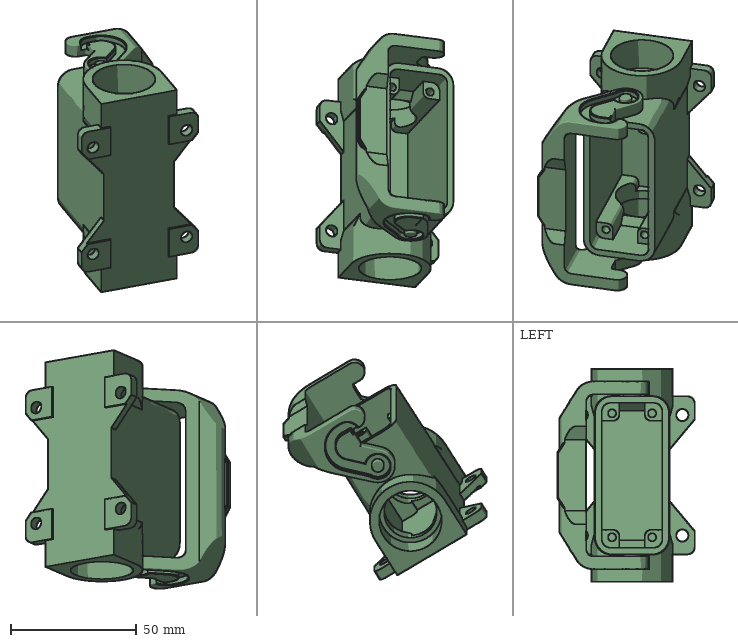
import cadquery as cq
import math


front_x = -34.8
back_x = 16.5
half_width = 14.7
half_height = 31.5
corner_radius = 6.55
draft_angle = 0.4
wall = 2.6
back_wall = 2.9
cavity_corner_radius = 3.4
cavity_ramp_x = -13.6
cavity_ramp = 3.1

port_radius = 16.2
port_end_z = 42.5
port_underside_inner_z = 23.5
port_underside_outer_z = 27.7
port_wall_y = 15.05
port_bore_radius = 10.5
port_counterbore_radius = 12.5
port_counterbore_depth = 13.0

boss_front_x = -25.5
boss_inner_y = 5.1
boss_inner_z = 21.8
boss_corner_radius = 2.55
boss_hole_y = 8.0
boss_hole_z = 24.7
boss_hole_radius = 1.6
boss_hole_depth = 10.2

foot_front_x = 13.3
foot_back_x = 17.4
foot_outer_y = 25.1
foot_top_z = 31.6
foot_edge_z = 22.35
foot_root_z = 10.4
foot_corner_radius = 3.1
foot_hole_y = 20.1
foot_hole_z = 24.05
foot_hole_radius = 2.4
pad_inner_y = 12.6
pad_bottom_z = 19.1

pivot_x = -24.9
pivot_radius = 6.8
spacer_radius = 3.5
pin_radius = 2.5
pin_fillet = 0.4
arm_inner_z = 32.3
arm_outer_z = 37.5
arm_edge_fillet = 0.4
bend_start_y = 15.6
bend_end_y = 22.1
inner_bend_radius = 3.1
lever_left_x = -50.6
bar_radius = 6.8
bar_axis_y = 22.35
bar_inner_y = 18.4
bar_end_slope = 1.6
hook_radius = 4.0
hook_center_y = -2.5
notch_y = 1.3
notch_fillet = 1.2

recess_depth = 2.5
recess_arc_x = -37.6
recess_arc_y = 5.1
recess_arc_radius = 9.95
recess_pivot_radius = 4.9
recess_foot_radius = 5.1
recess_foot_y = 3.6
recess_edge_chamfer = 0.3
island_arc_x = -37.9
island_arc_y = 5.3
island_arc_radius = 5.8

grip_left_x = -48.8
grip_right_x = -46.15
grip_top_y = 29.9
grip_half_length = 9.0
grip_chamfer = 0.4
relief_inner_z = 14.1
relief_outer_z = 19.55

housing_length = back_x - front_x
cavity_back_x = back_x - back_wall
cavity_half_width = half_width - wall
cavity_half_height = half_height - wall
bar_x = lever_left_x + bar_radius
bar_right_x = bar_x + bar_radius
bar_outer_y = bar_axis_y + bar_radius
bar_end_angle = math.atan2(1, bar_end_slope)
bend_radius = (bend_end_y - bend_start_y) / math.cos(bar_end_angle)
bend_center_z = arm_outer_z - bend_radius
hook_x = lever_left_x + hook_radius
hook_right_x = hook_x + hook_radius
recess_floor_z = arm_outer_z - recess_depth


def both_ends(shape):
    """The shape together with its mirror image about Z = 0."""
    return shape.union(shape.mirror("XY"))


def both_sides(shape):
    """The shape together with its mirror image about Y = 0."""
    return shape.union(shape.mirror("XZ"))


def point_on(x, y, radius, degrees):
    """Point on a circle, at an angle measured from the first axis."""
    angle = math.radians(degrees)
    return (x + radius * math.cos(angle), y + radius * math.sin(angle))


def make_shell():
    """Rounded box that widens slightly towards the back."""
    return (
        cq.Workplane("YZ", origin=(front_x, 0, 0))
        .sketch()
        .rect(2 * half_width, 2 * half_height)
        .vertices()
        .fillet(corner_radius)
        .finalize()
        .extrude(housing_length, taper=-draft_angle)
    )


def make_port():
    """D-shaped port block whose sides lean in below to meet the housing walls."""
    block = (
        cq.Workplane("XY", origin=(0, 0, port_underside_inner_z))
        .moveTo(back_x, -port_radius)
        .lineTo(0, -port_radius)
        .threePointArc((-port_radius, 0), (0, port_radius))
        .lineTo(back_x, port_radius)
        .close()
        .extrude(port_end_z - port_underside_inner_z)
    )
    envelope = (
        cq.Workplane("YZ", origin=(-port_radius, 0, 0))
        .polyline([
            (-port_wall_y, port_underside_inner_z),
            (port_wall_y, port_underside_inner_z),
            (port_radius, port_underside_outer_z),
            (port_radius, port_end_z),
            (-port_radius, port_end_z),
            (-port_radius, port_underside_outer_z),
        ])
        .close()
        .extrude(port_radius + back_x)
    )
    return block.intersect(envelope)


def make_cavity():
    """Pocket from the front, ramped to a shorter height ahead of the port bores."""
    pocket = (
        cq.Workplane("YZ", origin=(front_x, 0, 0))
        .sketch()
        .rect(2 * cavity_half_width, 2 * cavity_half_height)
        .vertices()
        .fillet(cavity_corner_radius)
        .finalize()
        .extrude(cavity_back_x - front_x)
    )
    ramp = (
        cq.Workplane("XZ", origin=(0, half_width, 0))
        .moveTo(cavity_back_x, cavity_half_height)
        .lineTo(cavity_ramp_x, cavity_half_height)
        .lineTo(cavity_ramp_x + cavity_ramp, cavity_half_height - cavity_ramp)
        .lineTo(cavity_back_x, cavity_half_height - cavity_ramp)
        .close()
        .extrude(2 * half_width)
    )
    return pocket.cut(both_ends(ramp))


def make_boss():
    """Screw boss filling one corner of the cavity."""
    width = cavity_half_width - boss_inner_y
    height = cavity_half_height - boss_inner_z
    boss = (
        cq.Workplane("XY")
        .box(cavity_back_x - boss_front_x, width, height, centered=False)
        .edges("|X and <Y and <Z")
        .fillet(boss_corner_radius)
        .translate((boss_front_x, boss_inner_y, boss_inner_z))
    )
    hole = (
        cq.Workplane("YZ", origin=(boss_front_x, boss_hole_y, boss_hole_z))
        .circle(boss_hole_radius)
        .extrude(boss_hole_depth)
    )
    return boss.cut(hole).intersect(make_cavity())


def make_port_bore():
    """Bore from the middle of the housing out through one port, with its counterbore."""
    bore = cq.Workplane("XY").circle(port_bore_radius).extrude(port_end_z)
    counterbore = (
        cq.Workplane("XY", origin=(0, 0, port_end_z))
        .circle(port_counterbore_radius)
        .extrude(-port_counterbore_depth)
    )
    return bore.union(counterbore)


def make_foot():
    """Triangular ear with a raised pad behind it."""
    thickness = foot_back_x - foot_front_x
    ear = (
        cq.Workplane("YZ", origin=(foot_front_x, 0, 0))
        .moveTo(pad_inner_y, foot_root_z)
        .lineTo(port_wall_y, foot_root_z)
        .lineTo(foot_outer_y, foot_edge_z)
        .lineTo(foot_outer_y, foot_top_z)
        .lineTo(pad_inner_y, foot_top_z)
        .close()
        .extrude(thickness)
        .edges("|X and >Y and >Z")
        .fillet(foot_corner_radius)
    )
    step = (
        cq.Workplane("XY")
        .box(foot_back_x - back_x, foot_outer_y, pad_bottom_z, centered=False)
        .translate((back_x, 0, 0))
    )
    return ear.cut(step)


def make_foot_hole():
    return (
        cq.Workplane("YZ", origin=(foot_front_x, foot_hole_y, foot_hole_z))
        .circle(foot_hole_radius)
        .extrude(foot_back_x - foot_front_x)
    )


def make_lever_outline():
    """The lever as seen along Z: bar, hook, notch and pivot eye, over its full height."""
    lower_tangent = point_on(pivot_x, 0, pivot_radius, 225)
    notch_right_x = lower_tangent[0] - (notch_y - lower_tangent[1])
    reach = math.hypot(bar_right_x - pivot_x, bar_axis_y)
    bearing = math.degrees(math.atan2(bar_axis_y, bar_right_x - pivot_x))
    upper_tangent_angle = bearing - math.degrees(math.acos(pivot_radius / reach))
    return (
        cq.Workplane("XY", origin=(0, 0, -arm_outer_z))
        .moveTo(lever_left_x, hook_center_y)
        .lineTo(lever_left_x, bar_axis_y)
        .threePointArc((bar_x, bar_outer_y), (bar_right_x, bar_axis_y))
        .lineTo(*point_on(pivot_x, 0, pivot_radius, upper_tangent_angle))
        .threePointArc(point_on(pivot_x, 0, pivot_radius, -45), lower_tangent)
        .lineTo(notch_right_x, notch_y)
        .lineTo(hook_right_x + notch_fillet, notch_y)
        .threePointArc(
            point_on(hook_right_x + notch_fillet, notch_y - notch_fillet, notch_fillet, 135),
            (hook_right_x, notch_y - notch_fillet),
        )
        .lineTo(hook_right_x, hook_center_y)
        .threePointArc((hook_x, hook_center_y - hook_radius), (lever_left_x, hook_center_y))
        .close()
        .extrude(2 * arm_outer_z)
    )


def make_lever_envelope():
    """Outer U shape of the lever as seen along X, with rounded bends and sloped bar ends."""
    slope_angle = math.degrees(bar_end_angle)
    tangent = point_on(bend_start_y, bend_center_z, bend_radius, slope_angle)
    mid_bend = point_on(bend_start_y, bend_center_z, bend_radius, (90 + slope_angle) / 2)
    slope_end_z = tangent[1] - bar_end_slope * (bar_outer_y - tangent[0])
    arm_end_y = -pivot_radius
    upper = (
        cq.Workplane("YZ", origin=(lever_left_x, 0, 0))
        .moveTo(arm_end_y, 0)
        .lineTo(arm_end_y, arm_outer_z)
        .lineTo(bend_start_y, arm_outer_z)
        .threePointArc(mid_bend, tangent)
        .lineTo(bar_outer_y, slope_end_z)
        .lineTo(bar_outer_y, 0)
        .close()
        .extrude(pivot_x + pivot_radius - lever_left_x)
    )
    return both_ends(upper)


def make_lever_inside():
    """Space between the arms, rounded where they turn into the bar."""
    depth = bar_inner_y + pivot_radius
    return (
        cq.Workplane("XY")
        .box(-lever_left_x, depth, 2 * arm_inner_z, centered=False)
        .translate((lever_left_x, -pivot_radius, -arm_inner_z))
        .edges("|X and >Y")
        .fillet(inner_bend_radius)
    )


def make_recess():
    """Curved groove from the hook to a round pocket at the pivot, with a flared rim."""
    arc_left_x = recess_arc_x - recess_arc_radius
    line_start = point_on(recess_arc_x, recess_arc_y, recess_arc_radius, 45)
    line_end_y = (line_start[0] + line_start[1] - pivot_x) / 2
    foot_x = arc_left_x + recess_foot_radius
    outline = (
        cq.Workplane("XY", origin=(0, 0, recess_floor_z))
        .moveTo(arc_left_x, recess_arc_y)
        .threePointArc(
            point_on(recess_arc_x, recess_arc_y, recess_arc_radius, 112.5),
            line_start,
        )
        .lineTo(pivot_x + line_end_y, line_end_y)
        .lineTo(pivot_x, notch_y)
        .lineTo(hook_right_x + notch_fillet, notch_y)
        .lineTo(hook_right_x + notch_fillet, recess_foot_y - recess_foot_radius)
        .lineTo(foot_x, recess_foot_y - recess_foot_radius)
        .threePointArc(
            point_on(foot_x, recess_foot_y, recess_foot_radius, 225),
            (arc_left_x, recess_foot_y),
        )
        .close()
        .extrude(recess_depth)
    )
    island_left_x = island_arc_x - island_arc_radius
    island_corner = point_on(island_arc_x, island_arc_y, island_arc_radius, 45)
    island = (
        cq.Workplane("XY", origin=(0, 0, recess_floor_z))
        .moveTo(island_left_x, notch_y)
        .lineTo(island_left_x, island_arc_y)
        .threePointArc(
            point_on(island_arc_x, island_arc_y, island_arc_radius, 112.5), island_corner
        )
        .lineTo(island_corner[0] + island_corner[1] - notch_y, notch_y)
        .close()
        .extrude(recess_depth)
    )
    pocket = (
        cq.Workplane("XY", origin=(pivot_x, 0, recess_floor_z))
        .circle(recess_pivot_radius)
        .extrude(recess_depth)
    )
    recess = outline.cut(island).union(pocket)
    rim = recess.faces(">Z").wires().vals()
    flare = (
        cq.Workplane("XY")
        .add(rim)
        .toPending()
        .extrude(recess_edge_chamfer, taper=-45)
        .translate((0, 0, -recess_edge_chamfer))
    )
    return recess.union(flare)


def make_pin():
    """Pivot pin standing in the recess, and the spacer that joins arm and housing."""
    spacer_bottom_z = half_height - wall / 2
    spacer = (
        cq.Workplane("XY", origin=(pivot_x, 0, spacer_bottom_z))
        .circle(spacer_radius)
        .extrude(recess_floor_z - spacer_bottom_z)
    )
    pin = (
        cq.Workplane("XY", origin=(pivot_x, 0, recess_floor_z))
        .circle(pin_radius)
        .extrude(recess_depth)
        .faces(">Z")
        .edges()
        .fillet(pin_fillet)
    )
    return spacer.union(pin)


def make_grip_relief():
    """Shallow recess with ramped ends in the front face of the bar."""
    return (
        cq.Workplane("XZ", origin=(0, bar_outer_y, 0))
        .polyline([
            (lever_left_x, -relief_outer_z),
            (grip_left_x, -relief_inner_z),
            (grip_left_x, relief_inner_z),
            (lever_left_x, relief_outer_z),
        ])
        .close()
        .extrude(bar_outer_y - bar_inner_y)
    )


def make_grip():
    """Thumb plate along the bar with sloped ends and broken outer edges."""
    base_half_length = grip_half_length + bar_end_slope * (grip_top_y - bar_axis_y)
    return (
        cq.Workplane("YZ", origin=(grip_left_x, 0, 0))
        .polyline([
            (grip_top_y, -grip_half_length),
            (grip_top_y, grip_half_length),
            (bar_axis_y, base_half_length),
            (bar_axis_y, -base_half_length),
        ])
        .close()
        .extrude(grip_right_x - grip_left_x)
        .faces("<X or >X")
        .edges("not <Y")
        .chamfer(grip_chamfer)
    )


def make_lever():
    """Complete lever with rounded outer edges, without its pivot pins."""
    lever = make_lever_outline().intersect(make_lever_envelope())
    for sign in (-1, 1):
        arm_and_bend = cq.selectors.BoxSelector(
            (lever_left_x - 0.85, -pivot_radius - 0.85, sign * bend_center_z),
            (back_x, bar_axis_y, sign * port_end_z),
        )
        lever = lever.edges(arm_and_bend).fillet(arm_edge_fillet)
    lever = lever.cut(make_lever_inside())
    lever = lever.cut(make_grip_relief())
    lever = lever.cut(both_ends(make_recess()))
    return lever.union(make_grip())


housing = make_shell().union(both_ends(make_port()))
housing = housing.cut(make_cavity())
housing = housing.union(both_ends(both_sides(make_boss())))
housing = housing.union(both_ends(both_sides(make_foot())))
housing = housing.cut(both_ends(both_sides(make_foot_hole())))
housing = housing.cut(both_ends(make_port_bore()))

result = housing.union(make_lever()).union(both_ends(make_pin()))